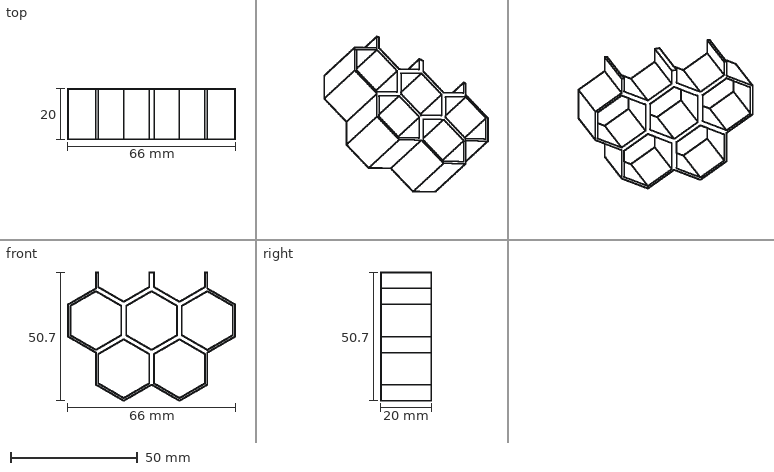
import cadquery as cq
import math

cell_width = 20.0
wall = 1.0
depth = 20.0
row_rise = 19.0

pitch = cell_width + 2 * wall
corner_ratio = 1 / math.cos(math.radians(30))
outer_corner_diameter = pitch * corner_ratio
inner_corner_diameter = cell_width * corner_ratio
upright_turn = 30

lower_row = [(-pitch / 2, -row_rise), (pitch / 2, -row_rise)]
middle_row = [(-pitch, 0), (0, 0), (pitch, 0)]
upper_row = [(-pitch / 2, row_rise), (pitch / 2, row_rise)]
cell_centres = lower_row + middle_row + upper_row

bottom_z = -row_rise - outer_corner_diameter / 2
top_z = row_rise


def cell_prisms(corner_diameter):
    """Upright hexagonal prisms along Y, one at every cell centre."""
    prism = (
        cq.Workplane("XZ", origin=(0, depth / 2, 0))
        .polygon(6, corner_diameter)
        .extrude(depth)
        .rotate((0, 0, 0), (0, 1, 0), upright_turn)
    )
    return [prism.translate((x, 0, z)) for x, z in cell_centres]


def honeycomb():
    """Joined hexagonal tubes: all outer prisms together, then every opening cut."""
    body = cq.Workplane("XZ")
    for outer in cell_prisms(outer_corner_diameter):
        body = body.union(outer)
    for opening in cell_prisms(inner_corner_diameter):
        body = body.cut(opening)
    return body


def trim_block():
    """Block around the part whose top face cuts through the upper row."""
    width = len(middle_row) * pitch
    block = cq.Workplane("XY", origin=(0, 0, bottom_z))
    return block.box(width, depth, top_z - bottom_z, centered=(True, True, False))


result = honeycomb().intersect(trim_block())